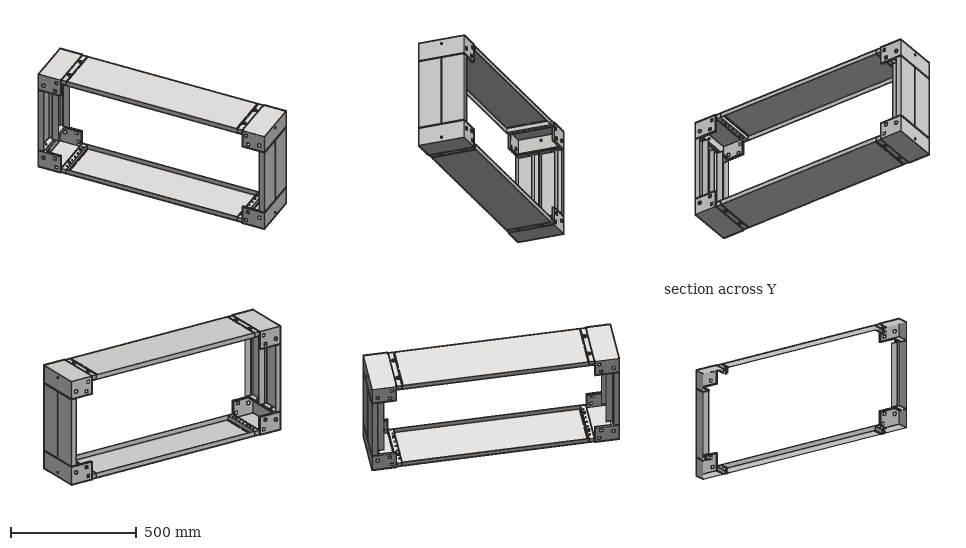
import cadquery as cq

FRAME_LENGTH = 1000.0
FRAME_DEPTH = 200.0
FRAME_HEIGHT = 450.0
END = FRAME_LENGTH / 2
SIDE = FRAME_DEPTH / 2
FLOOR = -FRAME_HEIGHT / 2

SHEET = 2.5
BEND = 2.5

CORNER_LENGTH = 100.0
CORNER_HEIGHT = 79.0
CORNER_LIP = 10.0
END_LIP = 32.0
ROUND_HOLE_DIAMETER = 15.0
ROUND_HOLE_PLACE = (24.0, 50.0)
SQUARE_HOLE_SIZE = 12.0
SQUARE_HOLE_PLACES = [(82.0, 21.0), (74.0, 61.0)]
END_HOLE_DIAMETER = 8.0
END_HOLE_HEIGHT = 20.0

PANEL_DEPTH = 25.0
PANEL_HALF_HEIGHT = FRAME_HEIGHT / 2 - CORNER_HEIGHT
PANEL_HOLE_DIAMETER = 7.0
RAIL_REACH = 27.0
RAIL_OFFSET = 20.0
RAIL_LENGTH = 270.0

COVER_END = END - CORNER_LENGTH
COVER_SIDE = SIDE - SHEET
COVER_HEIGHT = 22.0
BEAM_WIDTH = 24.0
SLOT_WIDTH = 3.0
SLOT_BRIDGE = 14.0
SLOT_OUTER_Y = 92.0

STUD_DIAMETER = 7.0
STUD_CLEARANCE = 16.0
STUD_SPACING = 100.0
STUD_X = COVER_END - 15.0
STUD_TIP = 1.5
STUD_TAIL = 6.0
BEAM_HOLE_DIAMETER = 5.0
BEAM_HOLE_OFFSETS = [-72.0, -26.0, 0, 26.0, 72.0]


def block(x0, x1, y0, y1, z0, z1):
    """Box between two opposite corners."""
    return cq.Workplane("XY").box(x1 - x0, y1 - y0, z1 - z0, centered=False).translate((x0, y0, z0))


def upright(x, y, z, diameter, height):
    """Vertical cylinder standing on the point (x, y, z)."""
    return cq.Workplane("XY", origin=(x, y, z)).circle(diameter / 2).extrude(height)


def corner():
    """Lower corner bracket at the -X end: floor, end wall, two side walls and their lips."""
    mouth = -COVER_END
    rim = FLOOR + CORNER_HEIGHT
    body = block(-END, mouth, -SIDE, SIDE, FLOOR, rim)
    body = body.edges("<X and (|Z or <Z)").fillet(BEND)

    inner_end = -END + SHEET
    inner_side = SIDE - SHEET
    inner_floor = FLOOR + SHEET
    lip_side = SIDE - CORNER_LIP
    body = body.cut(block(inner_end, mouth - SHEET, -inner_side, inner_side, inner_floor, rim - SHEET))
    body = body.cut(block(-END + END_LIP, mouth, -lip_side, lip_side, inner_floor, rim))

    drill = cq.Workplane("XZ", origin=(-END, SIDE, FLOOR))
    body = body.cut(drill.center(*ROUND_HOLE_PLACE).circle(ROUND_HOLE_DIAMETER / 2).extrude(FRAME_DEPTH))
    squares = drill.pushPoints(SQUARE_HOLE_PLACES).rect(SQUARE_HOLE_SIZE, SQUARE_HOLE_SIZE)
    body = body.cut(squares.extrude(FRAME_DEPTH))

    end_hole = cq.Workplane("YZ", origin=(-END, 0, FLOOR + END_HOLE_HEIGHT))
    return body.cut(end_hole.circle(END_HOLE_DIAMETER / 2).extrude(SHEET))


def end_panel():
    """Tray-shaped panel for the -Y half of the -X end, with a stepped rail on its +Y edge."""
    edge = -END + PANEL_DEPTH
    top = PANEL_HALF_HEIGHT
    body = block(-END, edge, -SIDE, 0, -top, top).faces("<X").edges().fillet(BEND)
    body = body.cut(block(-END + SHEET, edge, -SIDE + SHEET, -SHEET, -top + SHEET, top - SHEET))

    half_rail = RAIL_LENGTH / 2
    rail_back = -RAIL_OFFSET + SHEET
    step = block(edge - SHEET, edge, -RAIL_OFFSET, 0, -half_rail, half_rail)
    strip = block(edge - SHEET, edge + RAIL_REACH, -RAIL_OFFSET, rail_back, -half_rail, half_rail)
    body = body.union(step).union(strip)

    return body.cut(upright(-END + PANEL_DEPTH / 2, -SIDE / 2, -top, PANEL_HOLE_DIAMETER, 2 * top))


def beam_details(body, end):
    """Hollow, slots, studs and holes of the cross beam at one end (-1 or 1) of the cover."""
    beam_inner = COVER_END - BEAM_WIDTH
    shelf = FLOOR + COVER_HEIGHT - SHEET
    inner_side = COVER_SIDE - SHEET

    x0, x1 = sorted([end * (beam_inner + SHEET), end * (COVER_END - SHEET)])
    body = body.cut(block(x0, x1, -inner_side, inner_side, FLOOR + SHEET, shelf))

    for side in (-1, 1):
        x0, x1 = sorted([end * beam_inner, end * (beam_inner - SLOT_WIDTH)])
        y0, y1 = sorted([side * SLOT_BRIDGE / 2, side * SLOT_OUTER_Y])
        body = body.cut(block(x0, x1, y0, y1, FLOOR, FLOOR + SHEET))

        stud_x, stud_y = end * STUD_X, side * STUD_SPACING / 2
        body = body.cut(upright(stud_x, stud_y, FLOOR, STUD_CLEARANCE, SHEET))
        stud_length = STUD_TIP + COVER_HEIGHT + STUD_TAIL
        body = body.union(upright(stud_x, stud_y, FLOOR - STUD_TIP, STUD_DIAMETER, stud_length))

    for offset in BEAM_HOLE_OFFSETS:
        body = body.cut(upright(end * STUD_X, offset, shelf, BEAM_HOLE_DIAMETER, SHEET))
    return body


def cover():
    """Lower long cover: plate with turned edges and a cross beam at each end."""
    top = FLOOR + COVER_HEIGHT
    inner_side = COVER_SIDE - SHEET
    inner_end = COVER_END - BEAM_WIDTH
    body = block(-COVER_END, COVER_END, -COVER_SIDE, COVER_SIDE, FLOOR, top)
    body = body.faces("<Z").edges().fillet(BEND)
    body = body.cut(block(-inner_end, inner_end, -inner_side, inner_side, FLOOR + SHEET, top))
    for end in (-1, 1):
        body = beam_details(body, end)
    return body


lower_cover = cover()
covers = [lower_cover, lower_cover.mirror("XY")]

left_corner = corner()
corners = []
for bracket in (left_corner, left_corner.mirror("YZ")):
    corners += [bracket, bracket.mirror("XY")]

first_panel = end_panel()
panels = []
for shift in (0, SIDE):
    panel = first_panel.translate((0, shift, 0))
    panels += [panel, panel.mirror("YZ")]

result = cq.Compound.makeCompound([body.val() for body in covers + corners + panels])